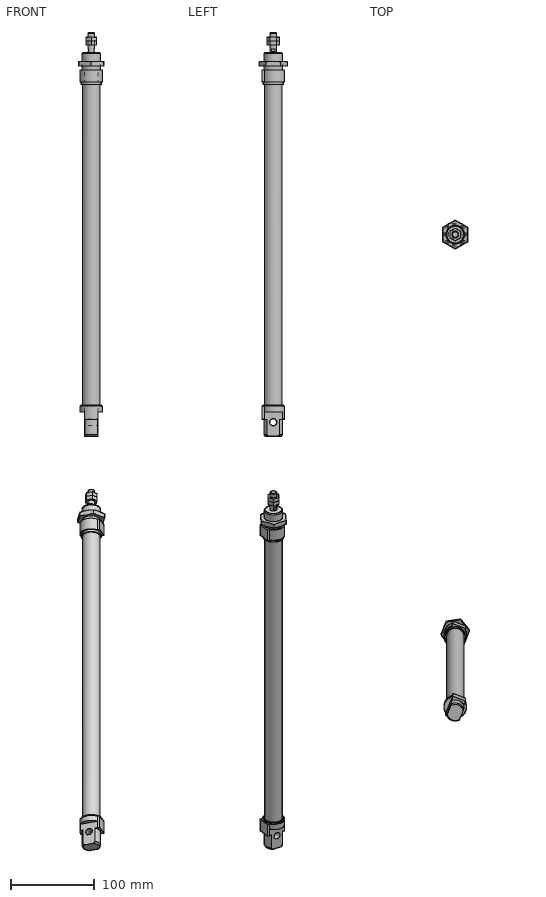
import cadquery as cq
import math

overall_length = 482.0
lug_flat_top = 29.0
rear_cap_bottom = 20.2
rear_cap_top = 36.0
rear_crimp_top = 37.5
front_crimp_bottom = 420.5
front_cap_bottom = 423.0
front_cap_top = 437.5
collar_top = 458.5

tube_diameter = 21.0
crimp_diameter = 24.0
cap_diameter = 27.0
collar_diameter = 22.0
collar_tip_diameter = 20.2
collar_chamfer_height = 1.5
lug_diameter = 22.0
lug_tip_diameter = 20.0
lug_thickness = 16.0
lug_chamfer_height = 2.5
pin_hole_diameter = 8.0
pin_hole_height = 17.0
port_boss_width = 16.5

rod_diameter = 8.0
rod_tip_diameter = 6.7
rod_flat_width = 6.7
rod_flat_length = 3.0
rod_flat_top = 462.5

collar_nut_width = 30.0
collar_nut_thickness = 6.0
collar_nut_bottom = 442.0
rod_nut_width = 13.0
rod_nut_thickness = 5.0
rod_nut_bottom = 467.0
rod_nut_count = 2
nut_chamfer_angle = 15.0


def cylinder(diameter, bottom, top):
    """Upright cylinder on the Z axis between two heights."""
    return cq.Workplane("XY").workplane(offset=bottom).circle(diameter / 2).extrude(top - bottom)


def port_boss(bottom, top):
    """Flat-sided block on the +Y side of an end cap, starting where its sides meet the round cap."""
    cap_radius = cap_diameter / 2
    boss_start = math.sqrt(cap_radius**2 - (port_boss_width / 2) ** 2)
    return (
        cq.Workplane("XY")
        .box(port_boss_width, cap_radius - boss_start, top - bottom, centered=(True, False, False))
        .translate((0, boss_start, bottom))
    )


def make_housing():
    """Tube with crimped end caps, rear lug with pin hole, and threaded front collar."""
    collar = cylinder(collar_diameter, front_cap_top, collar_top)
    collar = collar.faces(">Z").chamfer(collar_chamfer_height, (collar_diameter - collar_tip_diameter) / 2)
    lug = cylinder(lug_diameter, 0, rear_cap_bottom)
    lug = lug.faces("<Z").chamfer(lug_chamfer_height, (lug_diameter - lug_tip_diameter) / 2)
    body = lug.union(cylinder(cap_diameter, rear_cap_bottom, rear_cap_top))
    for side in (-1, 1):
        cutter = (
            cq.Workplane("XY")
            .box(cap_diameter, cap_diameter, lug_flat_top, centered=(True, True, False))
            .translate((side * (lug_thickness + cap_diameter) / 2, 0, 0))
        )
        body = body.cut(cutter)
    body = body.union(port_boss(rear_cap_bottom, rear_cap_top))
    pin_hole = (
        cq.Workplane("YZ")
        .center(0, pin_hole_height)
        .circle(pin_hole_diameter / 2)
        .extrude(lug_thickness, both=True)
    )
    body = body.cut(pin_hole)
    body = body.union(cylinder(crimp_diameter, rear_cap_top, rear_crimp_top))
    body = body.union(cylinder(tube_diameter, rear_crimp_top, front_crimp_bottom))
    body = body.union(cylinder(crimp_diameter, front_crimp_bottom, front_cap_bottom))
    body = body.union(cylinder(cap_diameter, front_cap_bottom, front_cap_top))
    body = body.union(port_boss(front_cap_bottom, front_cap_top))
    return body.union(collar)


def make_rod():
    """Exposed rod with a chamfered tip and two wrench flats facing X."""
    rod = cylinder(rod_diameter, collar_top, overall_length)
    rod = rod.faces(">Z").chamfer((rod_diameter - rod_tip_diameter) / 2)
    for side in (-1, 1):
        cutter = (
            cq.Workplane("XY")
            .box(rod_diameter, rod_diameter, rod_flat_length)
            .translate((side * (rod_flat_width + rod_diameter) / 2, 0, rod_flat_top - rod_flat_length / 2))
        )
        rod = rod.cut(cutter)
    return rod


def make_nut(width, thickness, hole_diameter, bottom):
    """Plain hexagon nut with two faces square to X."""
    corner_diameter = 2 * width / math.sqrt(3)
    nut = cq.Workplane("XY").polygon(6, corner_diameter).circle(hole_diameter / 2).extrude(thickness)
    return nut.rotate((0, 0, 0), (0, 0, 1), 30).translate((0, 0, bottom))


def make_collar_nut():
    """Hexagon nut on the threaded collar, its corners chamfered at both ends."""
    corner_radius = collar_nut_width / math.sqrt(3)
    flat_radius = collar_nut_width / 2
    drop = (corner_radius - flat_radius) * math.tan(math.radians(nut_chamfer_angle))
    envelope = (
        cq.Workplane("XZ")
        .polyline([
            (0, 0),
            (flat_radius, 0),
            (corner_radius, drop),
            (corner_radius, collar_nut_thickness - drop),
            (flat_radius, collar_nut_thickness),
            (0, collar_nut_thickness),
        ])
        .close()
        .revolve(360, (0, 0, 0), (0, 1, 0))
        .translate((0, 0, collar_nut_bottom))
    )
    hexagon = make_nut(collar_nut_width, collar_nut_thickness, collar_diameter, collar_nut_bottom)
    return hexagon.intersect(envelope)


housing = make_housing()
rod = make_rod()
collar_nut = make_collar_nut()
rod_nuts = [
    make_nut(rod_nut_width, rod_nut_thickness, rod_diameter, rod_nut_bottom + i * rod_nut_thickness)
    for i in range(rod_nut_count)
]

result = cq.Compound.makeCompound(
    [housing.val(), rod.val(), collar_nut.val(), *[nut.val() for nut in rod_nuts]]
)